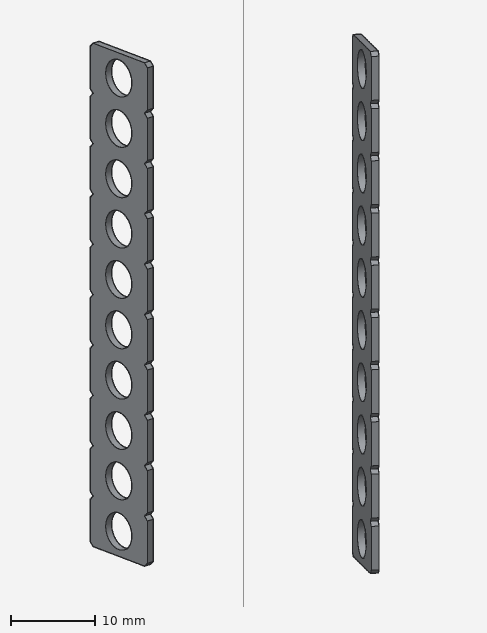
import cadquery as cq

pitch = 6.35
cell_count = 10
width = 10.16
thickness = 0.97
hole_diameter = 4.62
corner_size = 0.508

cell_heights = [(i - (cell_count - 1) / 2) * pitch for i in range(cell_count)]


def make_cell(height):
    """One chamfered cell; neighbouring chamfers meet to form the V notches."""
    cell = cq.Workplane("XY").box(width, thickness, pitch)
    return cell.edges("|Y").chamfer(corner_size).translate((0, 0, height))


def make_strip():
    """Row of cells joined end to end along Z."""
    strip = make_cell(cell_heights[0])
    for height in cell_heights[1:]:
        strip = strip.union(make_cell(height))
    return strip.clean()


def cut_holes(strip):
    """A round through hole along Y at the centre of every cell."""
    holes = (
        cq.Workplane("XZ", origin=(0, thickness / 2, 0))
        .pushPoints([(0, height) for height in cell_heights])
        .circle(hole_diameter / 2)
        .extrude(thickness)
    )
    return strip.cut(holes)


result = cut_holes(make_strip())